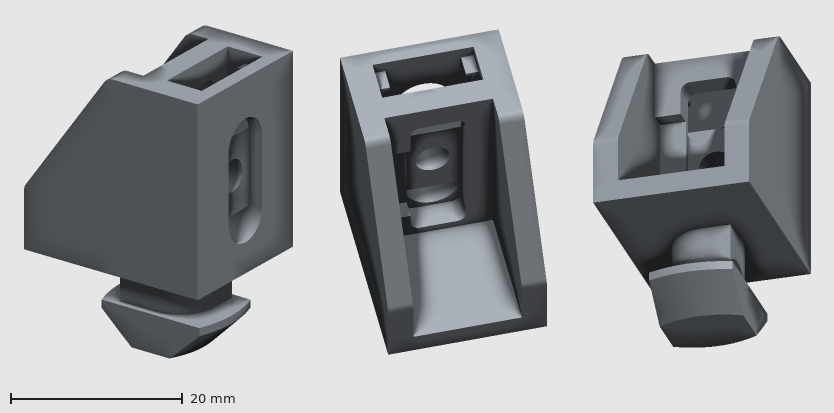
import cadquery as cq


LENGTH = 25.0
WIDTH = 19.0
HEIGHT = 25.0
NOSE_HEIGHT = 8.0
SLOPE_RUN = 12.0
EDGE_RADIUS = 1.5

CAVITY_LENGTH = 15.0
CAVITY_WIDTH = 13.0
CAVITY_FLOOR = 2.48

NUT_SIDE = 10.0
NUT_THICKNESS = 5.03
NUT_BORE = 4.13
NUT_CENTER_Z = 11.95

POCKET_START = 18.05
POCKET_LENGTH = NUT_THICKNESS
POCKET_WIDTH = 12.1
POCKET_END = POCKET_START + POCKET_LENGTH
POCKET_FLOOR = NUT_CENTER_Z - NUT_SIDE / 2

GUIDE_START = 20.55
LIP_WIDTH = 1.5
LIP_THICKNESS = 0.4
LIP_TOP = HEIGHT - 1.55
RIB_WIDTH = LIP_WIDTH / 2

SLOT_WIDTH = 6.7
WINDOW_BOTTOM = 3.45
WINDOW_TOP = 21.95
WINDOW_RADIUS = 1.15
BACK_SLOT_BOTTOM = 3.95
BACK_SLOT_TOP = 19.78

RECESS_HEIGHT = 12.0
RECESS_DEPTH = 2.1

FOOT_X = 15.0
STEM_LENGTH = 10.0
STEM_WIDTH = 8.47
STEM_RADIUS = STEM_LENGTH / 2
HEAD_LENGTH = 15.95
HEAD_WIDTH = 10.15
HEAD_HEIGHT = 5.0
HEAD_RIM = 1.05
HEAD_END_RADIUS = 14.43
STEM_HEIGHT = 35.9 - HEIGHT - HEAD_HEIGHT
HEAD_TOP = -STEM_HEIGHT
HEAD_BOTTOM = HEAD_TOP - HEAD_HEIGHT


def box(x0, x1, y0, y1, z0, z1):
    """Box given by its limits on the three axes."""
    return cq.Workplane("XY").box(x1 - x0, y1 - y0, z1 - z0, centered=False).translate((x0, y0, z0))


def slot_blank(x0, x1, z0, z1, corner_radius):
    """Round-cornered upright slot running along X."""
    half = SLOT_WIDTH / 2
    return box(x0, x1, -half, half, z0, z1).edges("|X").fillet(corner_radius)


def make_shell():
    """Block with sloping cheeks on both sides of an open cavity."""
    profile = [
        (0, 0),
        (LENGTH, 0),
        (LENGTH, HEIGHT),
        (SLOPE_RUN, HEIGHT),
        (0, NOSE_HEIGHT),
    ]
    block = cq.Workplane("XZ").polyline(profile).close().extrude(WIDTH / 2, both=True)
    for x, z in profile[3:]:
        block = block.edges(cq.NearestToPointSelector((x, 0, z))).fillet(EDGE_RADIUS)
    half = CAVITY_WIDTH / 2
    return block.cut(box(0, CAVITY_LENGTH, -half, half, CAVITY_FLOOR, HEIGHT))


def make_pocket():
    """Pocket void, narrowed at the back by the ribs and lips."""
    half = POCKET_WIDTH / 2
    pocket = box(POCKET_START, POCKET_END, -half, half, POCKET_FLOOR, HEIGHT)
    rib = box(GUIDE_START, POCKET_END, half - RIB_WIDTH, half, POCKET_FLOOR, LIP_TOP)
    lip = box(GUIDE_START, POCKET_END, half - LIP_WIDTH, half, LIP_TOP - LIP_THICKNESS, LIP_TOP)
    guide = rib.union(lip)
    return pocket.cut(guide).cut(guide.mirror("XZ"))


def make_recess():
    """Shallow void beside the window on the +Y side."""
    z0 = NUT_CENTER_Z - RECESS_HEIGHT / 2
    return box(CAVITY_LENGTH, CAVITY_LENGTH + RECESS_DEPTH, 0, CAVITY_WIDTH / 2, z0, z0 + RECESS_HEIGHT)


def make_back_slot():
    """Round-ended slot through the back wall and the nut pocket."""
    return (
        cq.Workplane("YZ", origin=(POCKET_START, 0, (BACK_SLOT_BOTTOM + BACK_SLOT_TOP) / 2))
        .slot2D(BACK_SLOT_TOP - BACK_SLOT_BOTTOM, SLOT_WIDTH, 90)
        .extrude(LENGTH - POCKET_START)
    )


def make_stem():
    """Rectangular stem with two diagonally opposite edges rounded for turning."""
    half_length = STEM_LENGTH / 2
    half_width = STEM_WIDTH / 2
    stem = box(-half_length, half_length, -half_width, half_width, HEAD_TOP, 0)
    for side in (-1, 1):
        corner = (side * half_length, -side * half_width, HEAD_TOP / 2)
        stem = stem.edges("|Z").edges(cq.NearestToPointSelector(corner)).fillet(STEM_RADIUS)
    return stem


def make_head():
    """Slab whose two ends are coaxial rims and 45 degree cones."""
    half_length = HEAD_LENGTH / 2
    half_width = HEAD_WIDTH / 2
    cone_drop = HEAD_HEIGHT - HEAD_RIM
    head = box(-half_length, half_length, -half_width, half_width, HEAD_BOTTOM, HEAD_TOP)
    end_profile = [
        (0, HEAD_TOP),
        (HEAD_END_RADIUS, HEAD_TOP),
        (HEAD_END_RADIUS, HEAD_TOP - HEAD_RIM),
        (HEAD_END_RADIUS - cone_drop, HEAD_BOTTOM),
        (0, HEAD_BOTTOM),
    ]
    end_solid = cq.Workplane("XZ").polyline(end_profile).close().revolve(360, (0, 0), (0, 1))
    axis_offset = HEAD_END_RADIUS - half_length
    for side in (-1, 1):
        head = head.intersect(end_solid.translate((side * axis_offset, 0, 0)))
    return head


def make_housing():
    """Clamp housing together with its quarter-turn foot."""
    window = slot_blank(CAVITY_LENGTH, POCKET_START, WINDOW_BOTTOM, WINDOW_TOP, WINDOW_RADIUS)
    housing = make_shell()
    for void in (make_pocket(), window, make_recess(), make_back_slot()):
        housing = housing.cut(void)
    foot = make_stem().union(make_head()).translate((FOOT_X, 0, 0))
    return housing.union(foot)


def make_nut():
    """Square nut standing in the pocket, bored along X."""
    half = NUT_SIDE / 2
    nut = box(
        POCKET_START, POCKET_START + NUT_THICKNESS, -half, half, NUT_CENTER_Z - half, NUT_CENTER_Z + half
    )
    bore = (
        cq.Workplane("YZ", origin=(POCKET_START, 0, NUT_CENTER_Z))
        .circle(NUT_BORE / 2)
        .extrude(NUT_THICKNESS)
    )
    return nut.cut(bore)


housing = make_housing()
nut = make_nut()
result = cq.Compound.makeCompound([housing.val(), nut.val()])